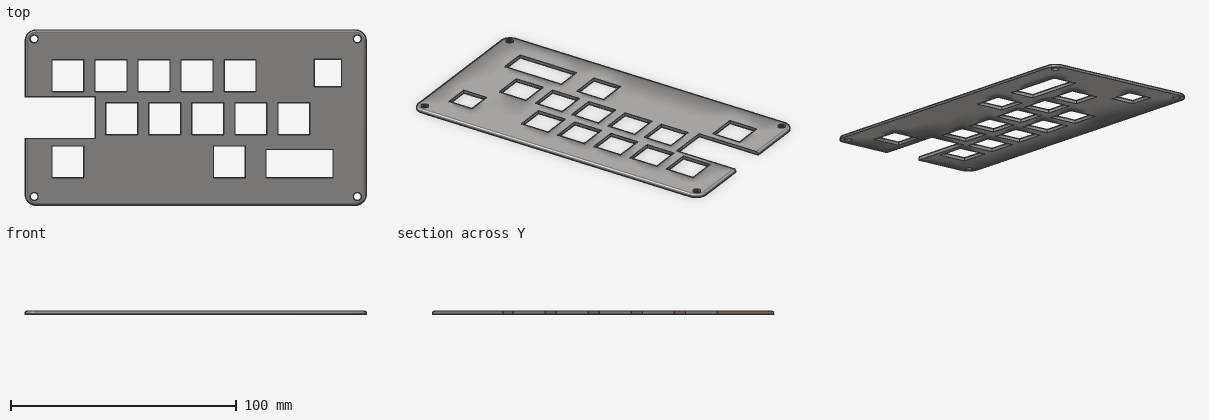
import cadquery as cq

LENGTH = 151.05
WIDTH = 77.75
THICKNESS = 1.5
CORNER_RADIUS = 5.0
RIM_RADIUS = 1.0

SCREW_DIAMETER = 3.4
SCREW_INSET = 4.0

KEY_PITCH = 19.05
KEY_SIZE = 14.0
FIRST_KEY_X = -56.575
MIDDLE_ROW_Y = -0.5
KEY_ROWS = [
    (1, [0, 1, 2, 3, 4]),
    (0, [1.25, 2.25, 3.25, 4.25, 5.25]),
    (-1, [0, 3.75]),
]

NOTCH_DEPTH = 31.0
NOTCH_WIDTH = 18.4

SQUARE_SIZE = 12.0
SQUARE_X = 58.5
SQUARE_Y = 19.75

WIDE_LENGTH = 29.6
WIDE_WIDTH = 12.4
WIDE_X = 45.9


def make_plate():
    """Rounded rectangle with a rounded top rim."""
    plate = cq.Workplane("XY").rect(LENGTH, WIDTH).extrude(THICKNESS)
    plate = plate.edges("|Z").fillet(CORNER_RADIUS)
    return plate.faces(">Z").edges().fillet(RIM_RADIUS)


def window(x, y, length, width):
    """Rectangular through cutter centred on (x, y)."""
    return cq.Workplane("XY").center(x, y).rect(length, width).extrude(THICKNESS)


def cut_keys(plate):
    for row, columns in KEY_ROWS:
        y = MIDDLE_ROW_Y + row * KEY_PITCH
        for column in columns:
            x = FIRST_KEY_X + column * KEY_PITCH
            plate = plate.cut(window(x, y, KEY_SIZE, KEY_SIZE))
    return plate


def cut_notch(plate):
    notch_x = (NOTCH_DEPTH - LENGTH) / 2
    return plate.cut(window(notch_x, 0, NOTCH_DEPTH, NOTCH_WIDTH))


def cut_windows(plate):
    front_row_edge = MIDDLE_ROW_Y - KEY_PITCH - KEY_SIZE / 2
    wide_y = front_row_edge + WIDE_WIDTH / 2
    plate = plate.cut(window(SQUARE_X, SQUARE_Y, SQUARE_SIZE, SQUARE_SIZE))
    return plate.cut(window(WIDE_X, wide_y, WIDE_LENGTH, WIDE_WIDTH))


def cut_screw_holes(plate):
    spacing_x = LENGTH - 2 * SCREW_INSET
    spacing_y = WIDTH - 2 * SCREW_INSET
    holes = (
        cq.Workplane("XY")
        .rect(spacing_x, spacing_y, forConstruction=True)
        .vertices()
        .circle(SCREW_DIAMETER / 2)
        .extrude(THICKNESS)
    )
    return plate.cut(holes)


result = cut_screw_holes(cut_windows(cut_notch(cut_keys(make_plate()))))